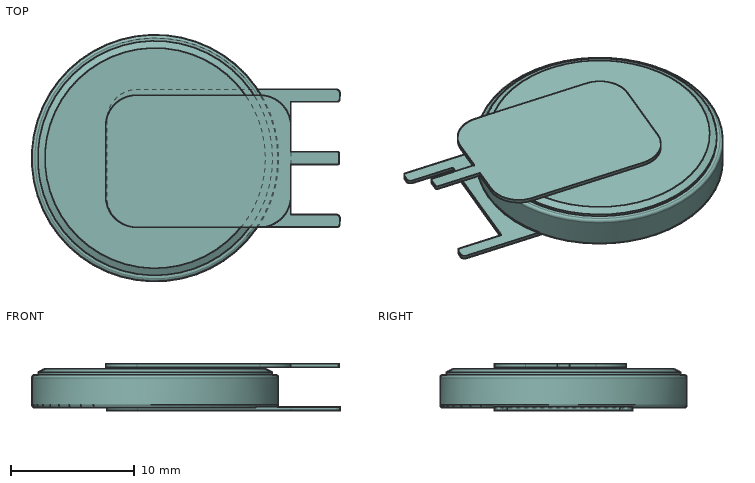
import cadquery as cq

TOTAL_HEIGHT = 3.8
TAB_THICKNESS = 0.3

CAN_RADIUS = 10.0
CAN_BOTTOM = 0.23
CAN_TOP = 2.9
CAN_EDGE_RADIUS = 0.25
CAP_RADIUS = 9.5
CAP_TOP = 3.4
CAP_STEP_HEIGHT = 0.2
CAP_BEVEL_WIDTH = 0.58

PLATE_RIGHT = 11.0
PLATE_CORNER_RADIUS = 2.5
UPPER_PLATE_LEFT = -4.0
UPPER_PLATE_BACK = 5.1
LOWER_PLATE_LEFT = -3.93
LOWER_PLATE_HALF_WIDTH = 5.6
PIN_WIDTH = 1.05
PIN_OVERLAP = 0.5
UPPER_PIN_END = 14.93
UPPER_PIN_CORNER_RADIUS = 0.15
LOWER_PIN_END = 15.03
LOWER_PIN_BACK_RADIUS = 0.38
LOWER_PIN_FRONT_RADIUS = 0.23
LOWER_PIN_END_SLANT = 0.08


def make_plate(left, front, back, bottom):
    """Flat tab plate with square corners, ending at the common right edge."""
    return (
        cq.Workplane("XY", origin=(left, front, bottom))
        .rect(PLATE_RIGHT - left, back - front, centered=False)
        .extrude(TAB_THICKNESS)
    )


def make_pin(center_y, end, slant, back_radius, front_radius, bottom):
    """Pin along +X, rooted in its plate; its front end corner is set back by the slant."""
    front = center_y - PIN_WIDTH / 2
    back = center_y + PIN_WIDTH / 2
    root = PLATE_RIGHT - PIN_OVERLAP
    pin = (
        cq.Workplane("XY", origin=(0, 0, bottom))
        .polyline([(root, front), (end - slant, front), (end, back), (root, back)])
        .close()
        .extrude(TAB_THICKNESS)
    )
    pin = pin.edges("|Z").edges(">Y").edges(">X").fillet(back_radius)
    return pin.edges("|Z").edges("<Y").edges(">X").fillet(front_radius)


def make_cell():
    """Can with rounded rims, topped by a stepped and bevelled cap."""
    can = (
        cq.Workplane("XY", origin=(0, 0, CAN_BOTTOM))
        .circle(CAN_RADIUS)
        .extrude(CAN_TOP - CAN_BOTTOM)
        .edges("%CIRCLE")
        .fillet(CAN_EDGE_RADIUS)
    )
    cap = (
        cq.Workplane("XY", origin=(0, 0, CAN_TOP))
        .circle(CAP_RADIUS)
        .extrude(CAP_TOP - CAN_TOP)
        .faces(">Z")
        .chamfer(CAP_TOP - CAN_TOP - CAP_STEP_HEIGHT, CAP_BEVEL_WIDTH)
    )
    return can.union(cap)


def make_lower_tab():
    """Lower plate, rounded at its two -X corners, with a pin flush with each side."""
    half_width = LOWER_PLATE_HALF_WIDTH
    tab = make_plate(LOWER_PLATE_LEFT, -half_width, half_width, 0)
    tab = tab.edges("|Z").edges("<X").fillet(PLATE_CORNER_RADIUS)
    for side in (-1, 1):
        center_y = side * (half_width - PIN_WIDTH / 2)
        tab = tab.union(
            make_pin(
                center_y, LOWER_PIN_END, LOWER_PIN_END_SLANT,
                LOWER_PIN_BACK_RADIUS, LOWER_PIN_FRONT_RADIUS, 0,
            )
        )
    return tab


def make_upper_tab():
    """Plate held just above the cap, with rounded corners and one pin on the X axis."""
    bottom = TOTAL_HEIGHT - TAB_THICKNESS
    plate = make_plate(UPPER_PLATE_LEFT, -LOWER_PLATE_HALF_WIDTH, UPPER_PLATE_BACK, bottom)
    plate = plate.edges("|Z").fillet(PLATE_CORNER_RADIUS)
    pin = make_pin(
        0, UPPER_PIN_END, 0, UPPER_PIN_CORNER_RADIUS, UPPER_PIN_CORNER_RADIUS, bottom
    )
    return plate.union(pin)


cell_with_lower_tab = make_cell().union(make_lower_tab())
upper_tab = make_upper_tab()

result = cq.Compound.makeCompound([cell_with_lower_tab.val(), upper_tab.val()])